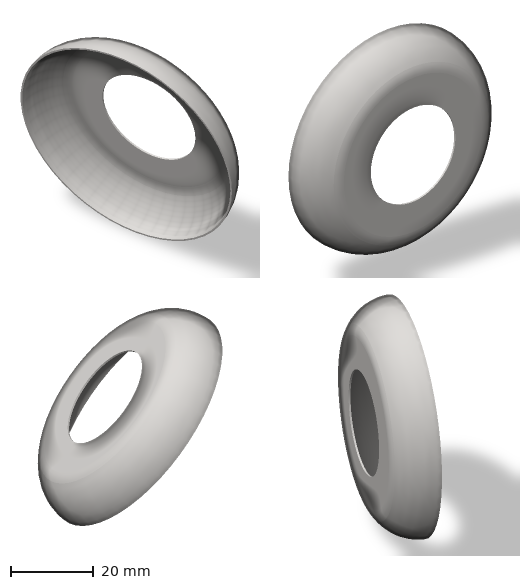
import cadquery as cq
import math

rim_radius = 30.0
depth = 11.0
thickness = 0.5
hole_radius = 13.2
wall_arc_radius = 12.0
blend_radius = 5.0

wall_center = (rim_radius - wall_arc_radius, 0.0)
blend_center_y = depth - blend_radius
center_distance = wall_arc_radius - blend_radius
blend_offset = math.sqrt(center_distance**2 - blend_center_y**2)
blend_center = (wall_center[0] + blend_offset, blend_center_y)
tangent_angle = math.atan2(blend_center_y, blend_offset)


def point_on_arc(center, radius, angle):
    return (center[0] + radius * math.cos(angle), center[1] + radius * math.sin(angle))


def skin_points(inset):
    """Arc points of one skin, from the rim to the floor, inset from the outer surface."""
    wall = wall_arc_radius - inset
    blend = blend_radius - inset
    blend_middle_angle = (tangent_angle + math.pi / 2) / 2
    return (
        point_on_arc(wall_center, wall, 0),
        point_on_arc(wall_center, wall, tangent_angle / 2),
        point_on_arc(wall_center, wall, tangent_angle),
        point_on_arc(blend_center, blend, blend_middle_angle),
        point_on_arc(blend_center, blend, math.pi / 2),
    )


outer_rim, outer_wall, outer_tangent, outer_blend, outer_floor = skin_points(0)
inner_rim, inner_wall, inner_tangent, inner_blend, inner_floor = skin_points(thickness)

section = (
    cq.Workplane("XY")
    .moveTo(hole_radius, depth)
    .lineTo(*outer_floor)
    .threePointArc(outer_blend, outer_tangent)
    .threePointArc(outer_wall, outer_rim)
    .lineTo(*inner_rim)
    .threePointArc(inner_wall, inner_tangent)
    .threePointArc(inner_blend, inner_floor)
    .lineTo(hole_radius, depth - thickness)
    .close()
)

result = section.revolve(360, (0, 0, 0), (0, 1, 0))